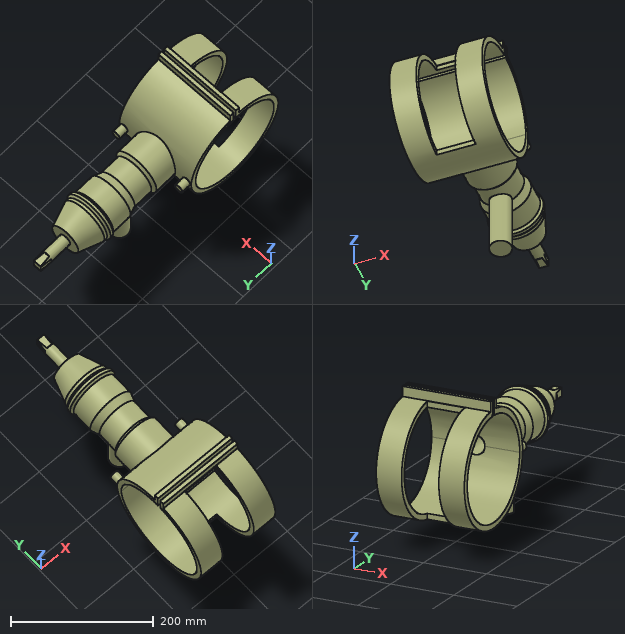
import cadquery as cq

overall_length = 418.7

ring_width = 140.0
ring_outer_radius = 178.0 / 2
ring_inner_radius = 80.0
lug_top = 104.0
lug_span = 18.0
split_gap = 4.5
window_width = 59.0
window_edge_y = -10.0

body_radius = 39.0
neck_radius = 34.0
bead_radius = 42.5
nose_radius = 25.5
shoulder_start = 127.5
neck_start = 132.5
neck_end = 166.5
barrel_start = 180.5
bead_start = 215.5
bead_crest_start = 219.5
bead_crest_end = 224.5
bead_end = 228.0
cone_start = 233.5
cone_end = 272.5

shank_radius = 9.5
tip_end = overall_length - ring_outer_radius
flats_start = 310.3
tip_half_width = 7.0
flats_base_half_width = 8.5

outlet_radius = 16.5
outlet_y = 162.5
outlet_bottom = -125.5
pin_radius = 14.5 / 2
pin_x = 60.7
pin_end = 105.0
bore_radius = 29.7 / 2
bore_end = outlet_y


def cylinder_along_y(radius, start, end, x=0):
    axis_start = cq.Vector(x, start, 0)
    return cq.Workplane(cq.Solid.makeCylinder(radius, end - start, axis_start, cq.Vector(0, 1, 0)))


def ring_cylinder(radius):
    return cq.Workplane("YZ", origin=(-ring_width / 2, 0, 0)).circle(radius).extrude(ring_width)


def make_clamp():
    lugs = cq.Workplane("XY").box(ring_width, lug_span, lug_top, centered=(True, True, False))
    gap = cq.Workplane("XY").box(ring_width, split_gap, lug_top, centered=(True, True, False))
    window = (
        cq.Workplane("XY")
        .box(window_width, ring_outer_radius, 2 * ring_outer_radius, centered=(True, False, True))
        .translate((0, window_edge_y - ring_outer_radius, 0))
    )
    clamp = ring_cylinder(ring_outer_radius).union(lugs)
    return clamp.cut(ring_cylinder(ring_inner_radius)).cut(gap).cut(window)


def make_body():
    profile = [
        (0, 0),
        (body_radius, 0),
        (body_radius, shoulder_start),
        (neck_radius, neck_start),
        (neck_radius, neck_end),
        (body_radius, barrel_start),
        (body_radius, bead_start),
        (bead_radius, bead_crest_start),
        (bead_radius, bead_crest_end),
        (body_radius, bead_end),
        (body_radius, cone_start),
        (nose_radius, cone_end),
        (0, cone_end),
    ]
    return cq.Workplane("XY").polyline(profile).close().revolve(360, (0, 0, 0), (0, 1, 0))


def make_shank():
    plain = cylinder_along_y(shank_radius, cone_end, flats_start)
    tip_blank = cylinder_along_y(shank_radius, flats_start, tip_end)
    square_taper = (
        cq.Workplane("XZ", origin=(0, flats_start, 0))
        .rect(2 * flats_base_half_width, 2 * flats_base_half_width)
        .workplane(offset=flats_start - tip_end)
        .rect(2 * tip_half_width, 2 * tip_half_width)
        .loft(ruled=True)
    )
    return plain.union(tip_blank.intersect(square_taper))


def make_outlet():
    return cq.Workplane("XY").center(0, outlet_y).circle(outlet_radius).extrude(outlet_bottom)


attachments = make_body().union(make_outlet())
for side in (-1, 1):
    attachments = attachments.union(cylinder_along_y(pin_radius, 0, pin_end, side * pin_x))

attachments = attachments.cut(ring_cylinder((ring_inner_radius + ring_outer_radius) / 2))

bore = cylinder_along_y(bore_radius, 0, bore_end)
result = make_clamp().union(attachments).union(make_shank()).cut(bore)